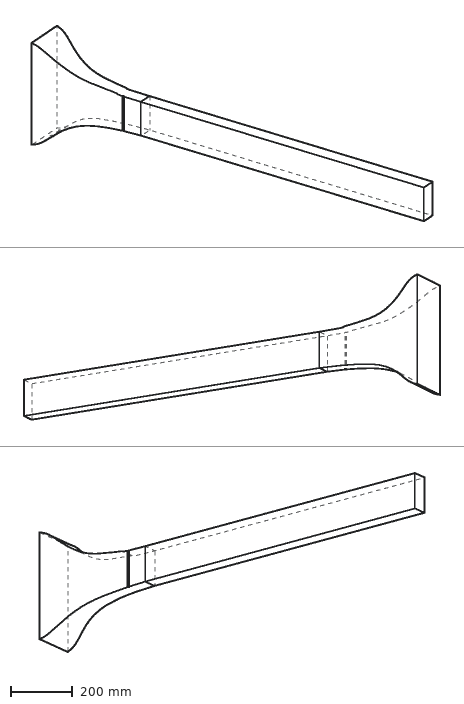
import cadquery as cq

total_length = 1496.0
mouth_height = 370.0
mouth_width = 150.0

bar_height = 123.0
bar_width = 51.0
horn_length = 393.0
bar_length = total_length - horn_length

groove_start = 322.0
groove_length = 5.0
groove_floor = 22.0

height_flare = [
    (0, mouth_height / 2),
    (21.0, 178.0),
    (75.0, 138.0),
    (129.0, 102.0),
    (210.0, 76.0),
    (299.0, 66.0),
    (horn_length, bar_height / 2),
]
width_flare = [
    (0, mouth_width / 2),
    (35.0, 69.0),
    (90.0, 51.0),
    (169.0, 35.0),
    (255.0, 27.0),
    (horn_length, bar_width / 2),
]
mouth_slope = 0.2


def flared_slab(plane, flare, thickness):
    """Slab whose outline is a flare mirrored about the X axis."""
    lower_flare = [(x, -half_size) for x, half_size in reversed(flare)]
    mouth_tangent = (1, -mouth_slope)
    lower_mouth_tangent = (-1, -mouth_slope)
    return (
        cq.Workplane(plane)
        .workplane(offset=-thickness / 2)
        .moveTo(*flare[0])
        .spline(flare[1:], tangents=[mouth_tangent, (1, 0)], includeCurrent=True)
        .lineTo(*lower_flare[0])
        .spline(lower_flare[1:], tangents=[(-1, 0), lower_mouth_tangent], includeCurrent=True)
        .close()
        .extrude(thickness)
    )


def make_horn():
    """Horn that flares in both height and width, with its side groove."""
    side_profile = flared_slab("XZ", height_flare, mouth_width)
    plan_profile = flared_slab("XY", width_flare, mouth_height)
    groove = cq.Workplane("XY").box(
        groove_length, mouth_width, mouth_height, centered=(False, False, True)
    ).translate((groove_start, -groove_floor - mouth_width, 0))
    return side_profile.intersect(plan_profile).cut(groove).solids()


def make_bar():
    """Plain rectangular bar that continues from the narrow end of the horn."""
    return cq.Workplane("XY").box(
        bar_length, bar_width, bar_height, centered=(False, True, True)
    ).translate((horn_length, 0, 0))


horn = make_horn()
bar = make_bar()

result = cq.Compound.makeCompound([horn.val(), bar.val()])